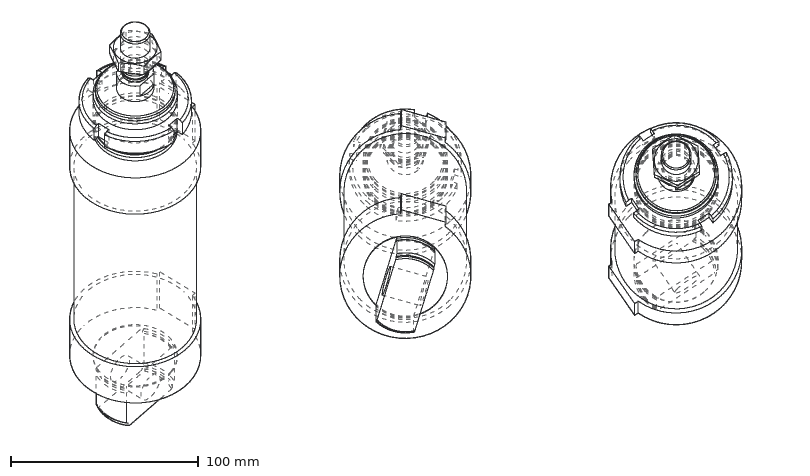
import cadquery as cq
import math


head_diameter = 70.0
head_radius = head_diameter / 2
barrel_radius = 65.5 / 2
lower_head_bottom = 33.3
head_height = 28.0
barrel_length = 118.2
lower_head_top = lower_head_bottom + head_height
upper_head_bottom = lower_head_top + barrel_length
upper_head_top = upper_head_bottom + head_height
pad_width = 24.7

neck_radius = 45.0 / 2
groove_radius = 43.0 / 2
tip_radius = 42.5 / 2
tip_chamfer = neck_radius - tip_radius
end_chamfer = 0.9
groove_chamfer = neck_radius - groove_radius

front_neck_top = 240.5
front_tip_height = 2.8
front_groove_bottom = 210.3
front_groove_height = 2.5

collar_height = 0.9
tongue_thickness = 21.0
rear_tip_height = 2.8
rear_groove_bottom = 27.0
rear_groove_height = 3.7
pivot_radius = 16.0 / 2
pivot_z = 16.0

rod_top = 284.2
rod_radius = 20.0 / 2
flat_width = 16.2
flat_height = 8.0
shoulder_z = 252.5
relief_radius = 14.5 / 2
throat_radius = 14.0 / 2
relief_height = 2.5
relief_chamfer = 0.5
thread_bottom = 258.0
thread_radius = 16.0 / 2
thread_tip_radius = 14.5 / 2
thread_chamfer = 1.0

hex_across_flats = 24.2
hex_across_corners = hex_across_flats / math.cos(math.pi / 6)
hex_bottom = 264.0
hex_height = 8.0
hex_face_radius = 11.7
hex_bevel_angle = math.radians(20)

ring_radius = 60.0 / 2
ring_bottom = 221.7
ring_height = 10.2
ring_edge_width = 1.7
ring_edge_height = 1.0
ring_slot_width = 7.0
ring_slot_floor = 26.1
ring_slots = 4


def turned(profile):
    """Solid turned about Z from (radius, z) points, listed from bottom to top."""
    on_axis_bottom = (0, profile[0][1])
    on_axis_top = (0, profile[-1][1])
    outline = [on_axis_bottom, *profile, on_axis_top]
    return cq.Workplane("XZ").polyline(outline).close().revolve(360, (0, 0), (0, 1))


def cylinder(radius, bottom, height):
    return cq.Workplane("XY", origin=(0, 0, bottom)).circle(radius).extrude(height)


def grooved(bottom, height):
    """Profile points of a neck groove with bevelled sides."""
    top = bottom + height
    return [
        (neck_radius, bottom),
        (groove_radius, bottom + groove_chamfer),
        (groove_radius, top - groove_chamfer),
        (neck_radius, top),
    ]


def make_head(bottom):
    """Round head with a flat pad on its +Y side."""
    pad_base = cq.Workplane("XY", origin=(0, head_radius / 2, bottom))
    pad = pad_base.rect(pad_width, head_radius).extrude(head_height)
    return cylinder(head_radius, bottom, head_height).union(pad)


def make_front_neck():
    tip_bottom = front_neck_top - front_tip_height
    return turned(
        [
            (neck_radius, upper_head_top),
            *grooved(front_groove_bottom, front_groove_height),
            (neck_radius, tip_bottom - tip_chamfer),
            (tip_radius, tip_bottom),
            (tip_radius, front_neck_top - end_chamfer),
            (tip_radius - end_chamfer, front_neck_top),
        ]
    )


def make_tongue():
    """Turned rear neck cut down to a flat tongue with a pivot hole."""
    collar_bottom = lower_head_bottom - collar_height
    neck = turned(
        [
            (tip_radius - end_chamfer, 0),
            (tip_radius, end_chamfer),
            (tip_radius, rear_tip_height),
            (neck_radius, rear_tip_height + tip_chamfer),
            *grooved(rear_groove_bottom, rear_groove_height),
            (neck_radius, collar_bottom),
        ]
    )
    slab = cq.Workplane("XY").rect(tongue_thickness, head_diameter).extrude(collar_bottom)
    pivot = cq.Workplane("YZ").center(0, pivot_z).circle(pivot_radius).extrude(tongue_thickness, both=True)
    collar = cylinder(neck_radius, collar_bottom, collar_height)
    return neck.intersect(slab).cut(pivot).union(collar)


def make_housing():
    barrel = cylinder(barrel_radius, lower_head_top, barrel_length)
    housing = barrel.union(make_head(lower_head_bottom)).union(make_head(upper_head_bottom))
    return housing.union(make_front_neck()).union(make_tongue())


def make_rod():
    """Rod standing on the front neck, with wrench flats and a threaded end."""
    rod = turned(
        [
            (rod_radius, front_neck_top),
            (rod_radius, shoulder_z),
            (throat_radius, shoulder_z),
            (relief_radius, shoulder_z + relief_chamfer),
            (relief_radius, shoulder_z + relief_height - relief_chamfer),
            (throat_radius, shoulder_z + relief_height),
            (thread_radius, thread_bottom),
            (thread_radius, rod_top - thread_chamfer),
            (thread_tip_radius, rod_top),
        ]
    )
    flat_bottom = shoulder_z - flat_height
    flat_zone = cq.Workplane("XY", origin=(0, 0, flat_bottom))
    between_flats = flat_zone.rect(flat_width, 2 * rod_radius).extrude(flat_height)
    flat_waste = cylinder(rod_radius, flat_bottom, flat_height).cut(between_flats)
    return rod.cut(flat_waste)


def make_hex_nut():
    """Hexagon with corners on the Y axis, its corners bevelled at both ends."""
    hexagon = (
        cq.Workplane("XY", origin=(0, 0, hex_bottom))
        .transformed(rotate=(0, 0, 90))
        .polygon(6, hex_across_corners)
        .extrude(hex_height)
    )
    corner_radius = hex_across_corners / 2
    bevel_height = (corner_radius - hex_face_radius) * math.tan(hex_bevel_angle)
    hex_top = hex_bottom + hex_height
    bevels = turned(
        [
            (hex_face_radius, hex_bottom),
            (corner_radius, hex_bottom + bevel_height),
            (corner_radius, hex_top - bevel_height),
            (hex_face_radius, hex_top),
        ]
    )
    bore = cylinder(thread_radius, hex_bottom, hex_height)
    return hexagon.intersect(bevels).cut(bore)


def make_ring_nut():
    """Round nut with slots around its rim and a bevelled top edge."""
    ring_top = ring_bottom + ring_height
    ring = turned(
        [
            (ring_radius, ring_bottom),
            (ring_radius, ring_top - ring_edge_height),
            (ring_radius - ring_edge_width, ring_top),
        ]
    )
    slot_depth = ring_radius - ring_slot_floor
    slot_centre = ring_slot_floor + slot_depth
    slot_base = cq.Workplane("XY", origin=(slot_centre, 0, ring_bottom))
    slot = slot_base.rect(2 * slot_depth, ring_slot_width).extrude(ring_height)
    for index in range(ring_slots):
        ring = ring.cut(slot.rotate((0, 0, 0), (0, 0, 1), index * 360 / ring_slots))
    return ring.cut(cylinder(neck_radius, ring_bottom, ring_height))


housing = make_housing()
rod = make_rod()
hex_nut = make_hex_nut()
ring_nut = make_ring_nut()

result = cq.Compound.makeCompound([housing.val(), rod.val(), hex_nut.val(), ring_nut.val()])